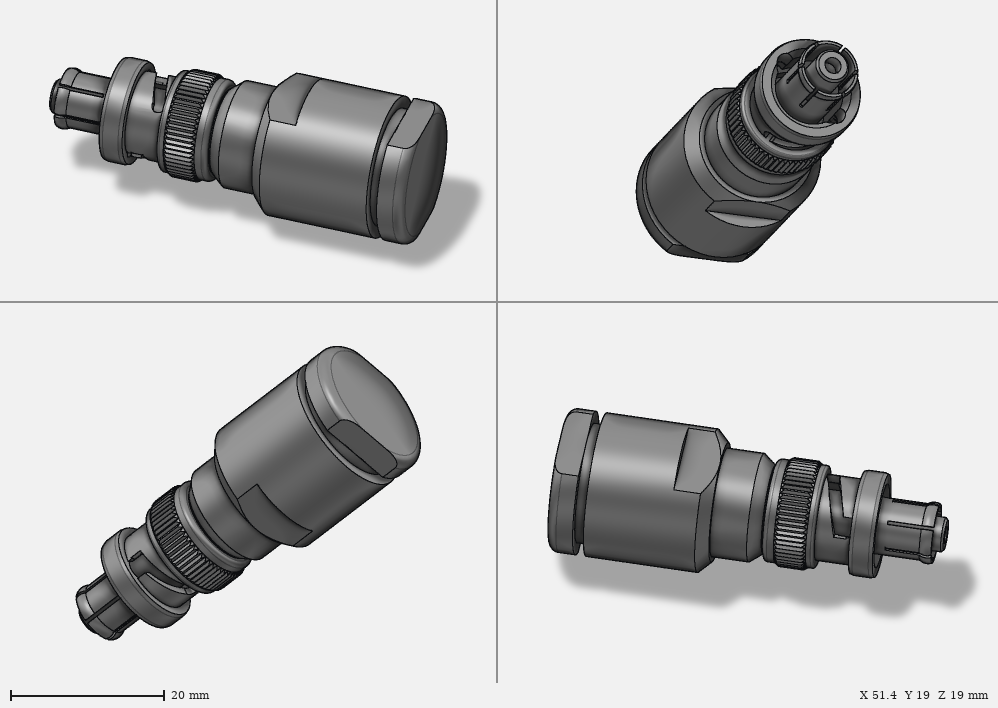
import cadquery as cq
import math


contact_dia = 4.55
contact_bore_dia = 2.2
contact_bore_depth = 2.05
contact_chamfer = 0.3
spring_dia = 7.5
spring_bore_dia = 7.05
spring_bore_floor = 7.7
bead_dia = 8.1
bead_face_dia = 7.8
spring_start = 1.3
bead_end = 2.9
spring_slot_end = 7.4
spring_slot_width = 0.45
spring_slot_count = 6

ring_start = 8.55
ring_end = 11.7
ring_dia = 13.9
ring_face_dia = 13.6
ring_chamfer_length = 0.5
sleeve_dia = 11.4
sleeve_bore_dia = 9.4
sleeve_bore_floor = 16.95
bore_mouth_dia = 11.1

slot_count = 2
entry_angle = 47.5
entry_width = 2.65
entry_outer_radius = 6.15
entry_end = 13.45
ring_groove_dia = 3.0
ring_groove_radius = 4.4
ramp_start_angle = 63.0
ramp_sweep_angle = 98.0
ramp_start = 13.15
ramp_end = 15.55
ramp_length = 1.65
ramp_end_dia = 1.85
ramp_inner_radius = 4.35
ramp_outer_radius = 6.15

collar_start = 16.45
collar_end = 23.25
collar_dia = 13.6
collar_front_fillet = 0.35
collar_rear_fillet = 0.65
knurl_start = 17.4
knurl_end = 21.7
knurl_dia = 14.4
knurl_root_dia = 13.65
knurl_bevel_length = 0.5
tooth_count = 60

neck_groove_dia = 11.4
neck_cone_start = 23.5
neck_cone_dia = 11.7
neck_dia = 14.4
neck_cone_end = 25.15
body_start = 30.05
body_face_dia = 15.8
body_dia = 19.0
body_end = 46.45
body_flat_end = 35.2
flat_width = 15.8
nut_start = 47.9
nut_end = 51.35
nut_fillet = 1.3


def ring_of(start, end, diameter):
    """Solid cylinder about the X axis between two stations."""
    return cq.Workplane("YZ", origin=(start, 0, 0)).circle(diameter / 2).extrude(end - start)


def cone(start, end, start_dia, end_dia):
    """Solid cone frustum about the X axis between two stations."""
    profile = (
        cq.Workplane("XY")
        .moveTo(start, 0)
        .lineTo(start, start_dia / 2)
        .lineTo(end, end_dia / 2)
        .lineTo(end, 0)
        .close()
    )
    return profile.revolve(360, (0, 0, 0), (1, 0, 0))


def bead():
    """Rounded bead at the free end of the spring sleeve."""
    profile = (
        cq.Workplane("XY")
        .moveTo(spring_start, 0)
        .lineTo(spring_start, bead_face_dia / 2)
        .threePointArc(((spring_start + bead_end) / 2, bead_dia / 2), (bead_end, spring_dia / 2))
        .lineTo(bead_end, 0)
        .close()
    )
    return profile.revolve(360, (0, 0, 0), (1, 0, 0))


def spring_sleeve():
    """Beaded tube with evenly spaced lengthwise slots in its wall."""
    sleeve = ring_of(spring_start, sleeve_bore_floor, spring_dia).union(bead())
    sleeve = sleeve.cut(ring_of(spring_start, spring_bore_floor, spring_bore_dia))
    slot_length = spring_slot_end - spring_start
    for index in range(spring_slot_count):
        slot = (
            cq.Workplane("XY")
            .box(slot_length, bead_dia, spring_slot_width, centered=(False, False, True))
            .translate((spring_start, 0, 0))
            .rotate((0, 0, 0), (1, 0, 0), index * 360 / spring_slot_count)
        )
        sleeve = sleeve.cut(slot)
    return sleeve


def contact():
    """Bored centre contact."""
    pin = ring_of(0, spring_bore_floor, contact_dia).faces("<X").chamfer(contact_chamfer)
    return pin.cut(ring_of(0, contact_bore_depth, contact_bore_dia))


def bayonet_slot():
    """Cutter for one bayonet slot, opening between -Y and -Z."""
    entry = (
        cq.Workplane("XY")
        .box(entry_end - ring_end, entry_width, entry_outer_radius, centered=(False, True, False))
        .translate((ring_end, 0, 0))
    )
    ring_groove = ring_of(ring_start, ring_end, ring_groove_dia).translate((0, 0, ring_groove_radius))
    entry = entry.union(ring_groove).rotate((0, 0, 0), (1, 0, 0), 180 - entry_angle)

    rise = ramp_end - ramp_start
    pitch = rise * 360 / ramp_sweep_angle
    mean_radius = (ramp_inner_radius + ramp_outer_radius) / 2
    wall = ramp_outer_radius - ramp_inner_radius
    helix = cq.Workplane(cq.Wire.makeHelix(pitch, rise, mean_radius))
    ramp = (
        cq.Workplane("XZ")
        .center(mean_radius, 0)
        .rect(wall, ramp_length)
        .sweep(helix, isFrenet=True)
    )
    rounded_end = (
        cq.Workplane("YZ", origin=(ramp_inner_radius, 0, rise))
        .circle(ramp_end_dia / 2)
        .extrude(wall)
        .rotate((0, 0, 0), (0, 0, 1), ramp_sweep_angle)
    )
    ramp = (
        ramp.union(rounded_end)
        .rotate((0, 0, 0), (0, 1, 0), 90)
        .translate((ramp_start, 0, 0))
        .rotate((0, 0, 0), (1, 0, 0), -ramp_start_angle)
    )
    return entry.union(ramp)


def bayonet_sleeve():
    """Hollow sleeve with a front ring and bayonet slots through its wall."""
    ring = (
        ring_of(ring_start, ring_end, ring_dia)
        .faces("<X or >X")
        .chamfer(ring_chamfer_length, (ring_dia - ring_face_dia) / 2)
    )
    sleeve = ring.union(ring_of(ring_start, collar_start, sleeve_dia))
    sleeve = sleeve.cut(ring_of(ring_start, collar_start, sleeve_bore_dia))
    mouth_depth = (bore_mouth_dia - sleeve_bore_dia) / 2
    sleeve = sleeve.cut(cone(ring_start, ring_start + mouth_depth, bore_mouth_dia, sleeve_bore_dia))
    slot = bayonet_slot()
    for index in range(slot_count):
        sleeve = sleeve.cut(slot.rotate((0, 0, 0), (1, 0, 0), index * 360 / slot_count))
    return sleeve


def knurl():
    """Ring of straight V-shaped teeth with bevelled ends."""
    points = []
    for index in range(2 * tooth_count):
        radius = knurl_root_dia / 2 if index % 2 == 0 else knurl_dia / 2
        angle = math.pi * index / tooth_count
        points.append((radius * math.cos(angle), radius * math.sin(angle)))
    length = knurl_end - knurl_start
    teeth = cq.Workplane("YZ", origin=(knurl_start, 0, 0)).polyline(points).close().extrude(length)
    bevel_height = (knurl_dia - knurl_root_dia) / 2
    blank = (
        ring_of(knurl_start, knurl_end, knurl_dia)
        .faces("<X or >X")
        .chamfer(knurl_bevel_length, bevel_height)
    )
    return teeth.intersect(blank)


def collar():
    """Round-edged collar carrying the knurl."""
    core = ring_of(collar_start, collar_end, collar_dia)
    core = core.faces("<X").edges().fillet(collar_front_fillet)
    core = core.faces(">X").edges().fillet(collar_rear_fillet)
    gripped = core.union(knurl())
    return gripped.cut(ring_of(collar_start, sleeve_bore_floor, sleeve_bore_dia))


def flatted(solid, start, end):
    """Cut two parallel wrench flats, above and below, between two stations."""
    side = 2 * body_dia
    for direction in (1, -1):
        cutter = cq.Workplane("XY").box(end - start, side, side).translate(
            ((start + end) / 2, 0, direction * (flat_width + side) / 2)
        )
        solid = solid.cut(cutter)
    return solid


def rear_body():
    """Neck, main body and clamping nut with their wrench flats."""
    neck = ring_of(collar_end, neck_cone_start, neck_groove_dia)
    neck = neck.union(cone(neck_cone_start, neck_cone_end, neck_cone_dia, neck_dia))
    neck = neck.union(ring_of(neck_cone_end, body_start, neck_dia))
    shoulder_end = body_start + (body_dia - body_face_dia) / 2
    body = cone(body_start, shoulder_end, body_face_dia, body_dia)
    body = body.union(ring_of(shoulder_end, body_end, body_dia))
    body = flatted(body, body_start, body_flat_end)
    groove = ring_of(body_end, nut_start, body_face_dia)
    nut = ring_of(nut_start, nut_end, body_dia).faces(">X").edges().fillet(nut_fillet)
    nut = flatted(nut, nut_start, nut_end)
    return neck.union(body).union(groove).union(nut)


result = collar().union(bayonet_sleeve()).union(spring_sleeve()).union(contact()).union(rear_body())